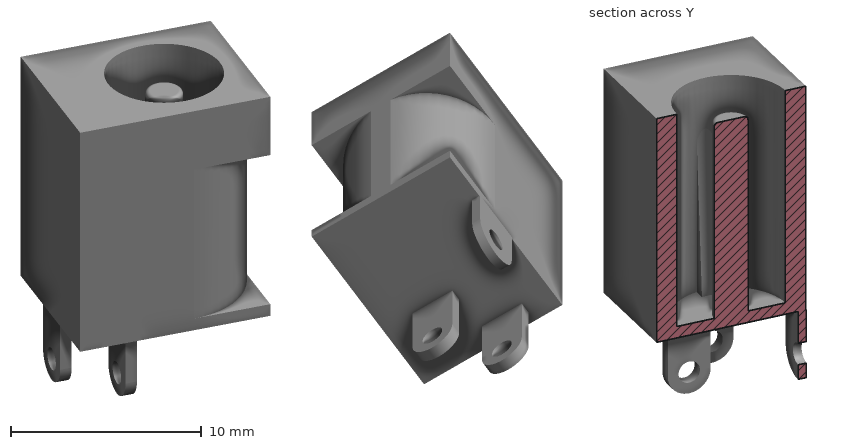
import cadquery as cq

total_height = 18.0
tail_length = 4.8
width = 8.7
depth = 10.7
body_height = total_height - tail_length
barrel_radius = width / 2
back_y = 4.3
front_y = back_y - depth
flange_thickness = 3.51
base_thickness = 0.7

socket_diameter = 6.3
pin_diameter = 2.0
pin_recess = 1.0
pin_rounding = 0.23
contact_width = 1.0
contact_reach = 0.67
contact_recess = 3.0

tab_hole_diameter = 1.25
tail_width = 2.5
tail_thickness = 0.65
front_tail_x = -1.37
front_tail_y = front_y + 0.92
rear_tail_x = 1.25
rear_tail_y = front_y + 3.58
side_tab_width = 3.0
side_tab_length = 4.0
side_tab_thickness = 0.5
side_tab_overhang = 0.05


def block(y_min, y_max, z_min, z_max):
    """Full-width block centred on X."""
    return (
        cq.Workplane("XY")
        .box(width, y_max - y_min, z_max - z_min, centered=(True, False, False))
        .translate((0, y_min, z_min))
    )


def make_housing():
    """Block whose rear half narrows to a round barrel between flange and base."""
    flange_z = body_height - flange_thickness
    barrel = cq.Workplane("XY").circle(barrel_radius).extrude(body_height)
    barrel = barrel.intersect(block(front_y, back_y, 0, body_height))
    return (
        block(front_y, 0, 0, body_height)
        .union(barrel)
        .union(block(front_y, back_y, 0, base_thickness))
        .union(block(front_y, back_y, flange_z, body_height))
    )


def make_socket():
    """Blind round socket ending at the base plate."""
    return (
        cq.Workplane("XY")
        .workplane(offset=base_thickness)
        .circle(socket_diameter / 2)
        .extrude(body_height - base_thickness)
    )


def make_pin():
    """Centre pin standing on the socket floor, with a rounded tip."""
    return (
        cq.Workplane("XY")
        .circle(pin_diameter / 2)
        .extrude(body_height - pin_recess)
        .faces(">Z")
        .edges()
        .fillet(pin_rounding)
    )


def make_contact():
    """Wedge on the front socket wall, sloping inward towards the floor."""
    wall_y = -socket_diameter / 2
    return (
        cq.Workplane("YZ")
        .moveTo(wall_y, body_height - contact_recess)
        .lineTo(wall_y + contact_reach, base_thickness)
        .lineTo(wall_y, base_thickness)
        .close()
        .extrude(contact_width / 2, both=True)
    )


def make_tab(tab_width, length, thickness):
    """Round-ended tab hanging below Z = 0, centred on X and Y, with an eyelet."""
    radius = tab_width / 2
    centre_z = radius - length
    return (
        cq.Workplane("XZ")
        .moveTo(-radius, 0)
        .lineTo(-radius, centre_z)
        .threePointArc((0, -length), (radius, centre_z))
        .lineTo(radius, 0)
        .close()
        .moveTo(0, centre_z)
        .circle(tab_hole_diameter / 2)
        .extrude(thickness / 2, both=True)
    )


result = make_housing().cut(make_socket()).union(make_pin()).union(make_contact())

for tail_x, tail_y in ((front_tail_x, front_tail_y), (rear_tail_x, rear_tail_y)):
    tail = make_tab(tail_width, tail_length, tail_thickness)
    result = result.union(tail.translate((tail_x, tail_y, 0)))

side_tab_x = -width / 2 - side_tab_overhang + side_tab_thickness / 2
side_tab = make_tab(side_tab_width, side_tab_length, side_tab_thickness)
side_tab = side_tab.rotate((0, 0, 0), (0, 0, 1), 90).translate((side_tab_x, 0, 0))
result = result.union(side_tab)